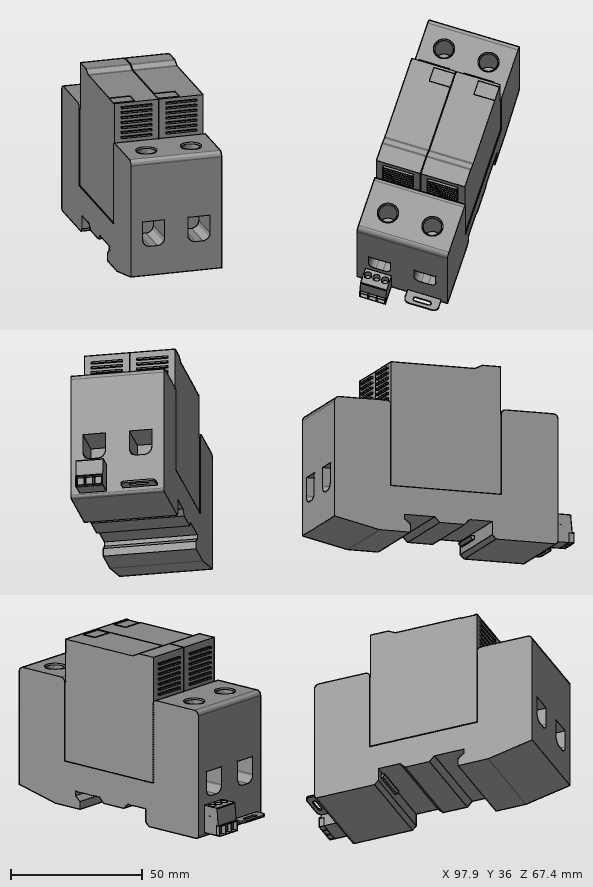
import cadquery as cq


LENGTH = 90.2
WIDTH = 36.0
HOUSING_HEIGHT = 50.6
OUTER_RADIUS = 2.0
INNER_RADIUS = 1.7
FOOT_RADIUS = 1.2
POLE_PITCH = 17.7
MIDDLE = LENGTH / 2

RAIL_TOP = 6.8
RAIL_PAD_BOTTOM = 4.7
PAD_START = 35.6
PAD_BOTTOM_END = 47.7
HOOK_CHAMFER_TOP = 5.0
HOOK_CHAMFER_BOTTOM = 3.1
RAIL_LEFT = 26.5
RAIL_RIGHT = 61.9
HOOK_TIP = 59.6
FOOT_CHAMFER = 1.6
TAPER_START = 72.0
TAPER_HEIGHT = 3.9

MODULE_TOP = 67.4
MODULE_DECK = 65.9
MODULE_END = 23.0
SEAT_END = 22.8
SEAT_FLOOR = 17.6
SEAT_TOP = HOUSING_HEIGHT - INNER_RADIUS
MODULE_WIDTH = 35.3
MODULE_GAP = 0.3
RAMP_START = 30.5
RAMP_END = 33.4
RAMP_RADIUS = 1.0
WINDOW_START = 60.4
WINDOW_LENGTH = 5.8
WINDOW_WIDTH = 8.3
WINDOW_DEPTH = 0.2

FIN_COUNT = 7
FIN_LOWEST = 52.1
FIN_HIGHEST = 64.2
FIN_PITCH = (FIN_HIGHEST - FIN_LOWEST) / (FIN_COUNT - 1)
FIN_LENGTH = 12.0
FIN_THICKNESS = 0.6
FIN_REACH = 0.9

SCREW_INSET = 10.1
SCREW_RADIUS = 3.5
SCREW_CHAMFER = 0.5
SCREW_DEPTH = 14.7
ENTRY_WIDTH = 8.7
ENTRY_PITCH = WIDTH / 2
ENTRY_BOTTOM = 15.6
ENTRY_TOP = 25.7
ENTRY_RADIUS = 2.9
ENTRY_DEPTH = 14.7

CONNECTOR_REACH = 7.7
CONNECTOR_WIDTH = 10.4
CONNECTOR_CENTER = 9.4
CONNECTOR_BOTTOM = 1.8
CONNECTOR_TOP = 12.6
CONNECTOR_SHELF = 5.8
CONNECTOR_SLOPE_BOTTOM = 7.0
CONNECTOR_SLOPE_TOP = 6.4
CONNECTOR_CHAMFER = 0.3
CONNECTOR_PITCH = 3.4
CONNECTOR_WALL = 0.2
SOCKET_WIDTH = 2.9
SOCKET_DEPTH = 2.0
CONNECTOR_HOLE_INSET = 2.4
CONNECTOR_HOLE_RADIUS = 1.4
CONNECTOR_HOLE_DEPTH = 3.9

TAB_REACH = 5.0
TAB_WIDTH = 13.4
TAB_BOTTOM = 2.5
TAB_THICKNESS = 0.7
TAB_RADIUS = 2.0
TAB_SLOT_INSET = 2.7
TAB_SLOT_LENGTH = 7.1
TAB_SLOT_WIDTH = 1.6
NOSE_REACH = 1.6
NOSE_TOP = 5.6
NOSE_BOTTOM = 4.1
NOSE_BOTTOM_REACH = 0.8
NOSE_CHAMFER = 0.3
LATCH_CENTER = -POLE_PITCH / 2


def extrude_along_y(points, width, center=0.0):
    """Closed XZ outline extruded along Y, symmetric about the given Y."""
    plane = cq.Workplane("XZ", origin=(0, center, 0))
    return plane.polyline(points).close().extrude(width / 2, both=True)


def block(x_min, x_max, y_min, y_max, z_min, z_max):
    """Box given by its limits."""
    size = (x_max - x_min, y_max - y_min, z_max - z_min)
    return cq.Workplane("XY").box(*size, centered=False).translate((x_min, y_min, z_min))


def mirror_ends(shape):
    """The shape joined with its copy at the opposite X end."""
    copy = shape.mirror("YZ", (MIDDLE, 0, 0))
    return shape.union(copy)


def make_housing():
    """Housing with the module seat on top and the rail recess underneath."""
    pad_drop = RAIL_TOP - RAIL_PAD_BOTTOM
    profile = [
        (0, 0),
        (RAIL_LEFT - FOOT_CHAMFER, 0),
        (RAIL_LEFT, FOOT_CHAMFER),
        (RAIL_LEFT, RAIL_TOP),
        (PAD_START, RAIL_TOP),
        (PAD_START + pad_drop, RAIL_PAD_BOTTOM),
        (PAD_BOTTOM_END, RAIL_PAD_BOTTOM),
        (PAD_BOTTOM_END + pad_drop, RAIL_TOP),
        (RAIL_RIGHT, RAIL_TOP),
        (RAIL_RIGHT, HOOK_CHAMFER_TOP),
        (HOOK_TIP, HOOK_CHAMFER_BOTTOM),
        (HOOK_TIP, 0),
        (TAPER_START, 0),
        (LENGTH, TAPER_HEIGHT),
        (LENGTH, HOUSING_HEIGHT),
        (LENGTH - SEAT_END, HOUSING_HEIGHT),
        (LENGTH - SEAT_END, SEAT_FLOOR),
        (SEAT_END, SEAT_FLOOR),
        (SEAT_END, HOUSING_HEIGHT),
        (0, HOUSING_HEIGHT),
    ]
    body = extrude_along_y(profile, WIDTH)

    def edge_at(x, z):
        return cq.selectors.NearestToPointSelector((x, 0, z))

    for x in (0, LENGTH):
        body = body.edges(edge_at(x, HOUSING_HEIGHT)).fillet(OUTER_RADIUS)
    for x in (SEAT_END, LENGTH - SEAT_END):
        body = body.edges(edge_at(x, HOUSING_HEIGHT)).fillet(INNER_RADIUS)
    return body.edges(edge_at(0, 0)).fillet(FOOT_RADIUS)


def make_modules():
    """Two modules side by side, wider inside the seat and split above it."""
    right_end = LENGTH - MODULE_END
    profile = [
        (MODULE_END, SEAT_FLOOR),
        (right_end, SEAT_FLOOR),
        (right_end, MODULE_DECK),
        (RAMP_END, MODULE_DECK),
        (RAMP_START, MODULE_TOP),
        (MODULE_END, MODULE_TOP),
    ]
    modules = extrude_along_y(profile, MODULE_WIDTH)
    for x, z in ((RAMP_START, MODULE_TOP), (RAMP_END, MODULE_DECK)):
        modules = modules.edges(cq.selectors.NearestToPointSelector((x, 0, z))).fillet(RAMP_RADIUS)
    half = MODULE_WIDTH / 2
    seat = block(SEAT_END, LENGTH - SEAT_END, -half, half, SEAT_FLOOR, SEAT_TOP)
    gap = block(0, LENGTH, -MODULE_GAP / 2, MODULE_GAP / 2, SEAT_TOP, MODULE_TOP)
    modules = modules.union(seat).cut(gap)
    for y_min in (-half, MODULE_GAP / 2):
        window_end = WINDOW_START + WINDOW_LENGTH
        floor = MODULE_DECK - WINDOW_DEPTH
        modules = modules.cut(
            block(WINDOW_START, window_end, y_min, y_min + WINDOW_WIDTH, floor, MODULE_TOP)
        )
    return modules


def make_fins():
    """Stacks of flat fins, half buried in the end faces of both modules."""
    fin = cq.Workplane("XY").box(2 * FIN_REACH, FIN_LENGTH, FIN_THICKNESS)
    fins = cq.Workplane("XY")
    for y in (-POLE_PITCH / 2, POLE_PITCH / 2):
        for level in range(FIN_COUNT):
            fins = fins.union(fin.translate((MODULE_END, y, FIN_LOWEST + level * FIN_PITCH)))
    return mirror_ends(fins)


def make_terminal_cuts():
    """Chamfered screw holes and cable entries of all poles at both ends."""
    cuts = cq.Workplane("XY")
    for side in (-1, 1):
        screw_y = side * POLE_PITCH / 2
        top = cq.Workplane("XY", origin=(SCREW_INSET, screw_y, HOUSING_HEIGHT))
        bore = top.circle(SCREW_RADIUS).extrude(-SCREW_DEPTH)
        rim = top.circle(SCREW_RADIUS + SCREW_CHAMFER).extrude(-SCREW_CHAMFER, taper=45)
        y_min = side * ENTRY_PITCH / 2 - ENTRY_WIDTH / 2
        entry = block(0, ENTRY_DEPTH, y_min, y_min + ENTRY_WIDTH, ENTRY_BOTTOM, ENTRY_TOP)
        entry = entry.edges("|X and <Z").fillet(ENTRY_RADIUS)
        cuts = cuts.union(bore).union(rim).union(entry)
    return mirror_ends(cuts)


def make_connector():
    """Three-way connector with screw holes on top and wire sockets in front."""
    profile = [
        (0, CONNECTOR_BOTTOM),
        (-CONNECTOR_REACH, CONNECTOR_BOTTOM),
        (-CONNECTOR_REACH, CONNECTOR_SHELF),
        (-CONNECTOR_SLOPE_BOTTOM, CONNECTOR_SHELF),
        (-CONNECTOR_SLOPE_TOP, CONNECTOR_TOP - CONNECTOR_CHAMFER),
        (-CONNECTOR_SLOPE_TOP + CONNECTOR_CHAMFER, CONNECTOR_TOP),
        (0, CONNECTOR_TOP),
    ]
    connector = extrude_along_y(profile, CONNECTOR_WIDTH, CONNECTOR_CENTER)
    for step in (-1, 0, 1):
        y = CONNECTOR_CENTER + step * CONNECTOR_PITCH
        socket = block(
            -CONNECTOR_REACH,
            -CONNECTOR_REACH + SOCKET_DEPTH,
            y - SOCKET_WIDTH / 2,
            y + SOCKET_WIDTH / 2,
            CONNECTOR_BOTTOM + CONNECTOR_WALL,
            CONNECTOR_SHELF - CONNECTOR_WALL,
        )
        top = cq.Workplane("XY", origin=(-CONNECTOR_HOLE_INSET, y, CONNECTOR_TOP))
        hole = top.circle(CONNECTOR_HOLE_RADIUS).extrude(-CONNECTOR_HOLE_DEPTH)
        connector = connector.cut(socket).cut(hole)
    return connector


def make_latch():
    """Slotted pull tab and the spring nose that grips the rail."""
    half = TAB_WIDTH / 2
    tab = block(
        -TAB_REACH, 0, LATCH_CENTER - half, LATCH_CENTER + half, TAB_BOTTOM, TAB_BOTTOM + TAB_THICKNESS
    )
    tab = tab.edges("|Z and <X").fillet(TAB_RADIUS)
    slot = (
        cq.Workplane("XY", origin=(-TAB_SLOT_INSET, LATCH_CENTER, TAB_BOTTOM))
        .slot2D(TAB_SLOT_LENGTH, TAB_SLOT_WIDTH, 90)
        .extrude(TAB_THICKNESS)
    )
    nose_profile = [
        (RAIL_LEFT, NOSE_BOTTOM),
        (RAIL_LEFT + NOSE_BOTTOM_REACH, NOSE_BOTTOM),
        (RAIL_LEFT + NOSE_REACH, NOSE_TOP - NOSE_CHAMFER),
        (RAIL_LEFT + NOSE_REACH - NOSE_CHAMFER, NOSE_TOP),
        (RAIL_LEFT, NOSE_TOP),
    ]
    nose = extrude_along_y(nose_profile, TAB_WIDTH, LATCH_CENTER)
    return tab.cut(slot).union(nose)


result = (
    make_housing()
    .union(make_modules())
    .union(make_fins())
    .cut(make_terminal_cuts())
    .union(make_connector())
    .union(make_latch())
)